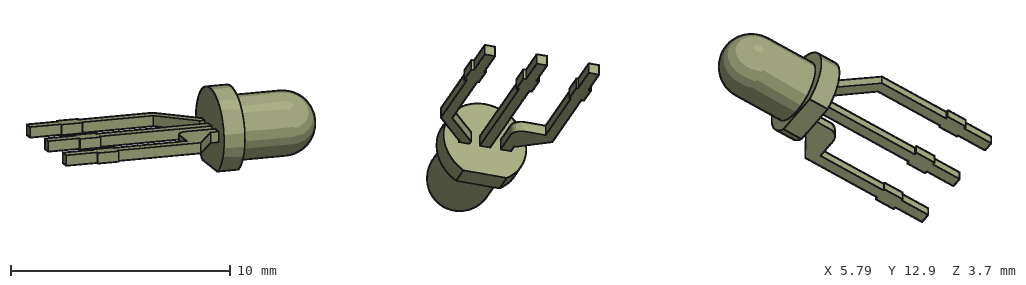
import cadquery as cq


lens_diameter = 3.0
lens_radius = lens_diameter / 2
lens_length = 5.0
flange_radius = 2.0
flange_thickness = 1.0
flat_depth = 1.7

overall_length = 12.9
left_lead_length = overall_length - lens_length
lead_trim = 0.01
lead_length = left_lead_length - lead_trim
lead_width = 0.5
lead_half_width = lead_width / 2
lead_pitch = 2.52
root_pitch = 1.0
lead_outer = lead_pitch + lead_half_width
lead_inner = lead_pitch - lead_half_width
root_outer = root_pitch + lead_half_width
root_inner = root_pitch - lead_half_width

pad_start = 5.39
pad_length = 1.0
pad_outer_step = 0.125
pad_inner_step = 0.08

left_outer_root = 0.08
left_inner_root = 0.23
left_outer_bend = 1.82
left_inner_bend = 1.95

web_top_root = 0.4
web_top_end = 1.39
web_bottom = 1.9
web_corner_radius = 0.5


def make_lens():
    """Domed cylinder on a round flange with one flat side."""
    dome_start = lens_length - lens_radius
    lens = (
        cq.Workplane("XY")
        .lineTo(flange_radius, 0)
        .lineTo(flange_radius, flange_thickness)
        .lineTo(lens_radius, flange_thickness)
        .lineTo(lens_radius, dome_start)
        .radiusArc((0, lens_length), -lens_radius)
        .close()
        .revolve(360, (0, 0, 0), (0, 1, 0))
    )
    below_flat = cq.Workplane("XY").box(
        2 * flange_radius, flange_thickness, flange_radius, centered=(True, False, False)
    ).translate((0, 0, -flat_depth - flange_radius))
    return lens.cut(below_flat)


def extrude_lead(points):
    """Extrude a flat outline to the lead thickness, centred on the axis."""
    return cq.Workplane("XY").polyline(points).close().extrude(lead_half_width, both=True)


def make_pad(x_min, x_max):
    """Rectangular widening of a lead between two X positions."""
    return cq.Workplane("XY").box(
        x_max - x_min, pad_length, lead_width, centered=(False, False, True)
    ).translate((x_min, -pad_start - pad_length, 0))


def make_center_lead():
    """Straight lead with a symmetrical pad."""
    lead = extrude_lead([
        (-lead_half_width, 0),
        (lead_half_width, 0),
        (lead_half_width, -lead_length),
        (-lead_half_width, -lead_length),
    ])
    pad_half_width = lead_half_width + pad_outer_step
    return lead.union(make_pad(-pad_half_width, pad_half_width))


def make_left_lead():
    """Lead that slants outward before running straight."""
    lead = extrude_lead([
        (-root_outer, 0),
        (-root_inner, 0),
        (-root_inner, -left_inner_root),
        (-lead_inner, -left_inner_bend),
        (-lead_inner, -left_lead_length),
        (-lead_outer, -left_lead_length),
        (-lead_outer, -left_outer_bend),
        (-root_outer, -left_outer_root),
    ])
    return lead.union(make_pad(-lead_outer - pad_outer_step, -lead_inner + pad_inner_step))


def make_right_lead():
    """Lead with a broad web that has one rounded corner."""
    lead = extrude_lead([
        (root_inner, 0),
        (root_outer, 0),
        (root_outer, -web_top_root),
        (lead_outer, -web_top_end),
        (lead_outer, -lead_length),
        (lead_inner, -lead_length),
        (lead_inner, -web_bottom),
        (root_inner, -web_bottom),
    ])
    web_corner = cq.selectors.NearestToPointSelector((root_inner, -web_bottom, 0))
    lead = lead.edges("|Z").edges(web_corner).fillet(web_corner_radius)
    return lead.union(make_pad(lead_inner - pad_inner_step, lead_outer + pad_outer_step))


lens = make_lens()
left_lead = make_left_lead()
center_lead = make_center_lead()
right_lead = make_right_lead()

result = cq.Compound.makeCompound([
    lens.val(),
    left_lead.val(),
    center_lead.val(),
    right_lead.val(),
])